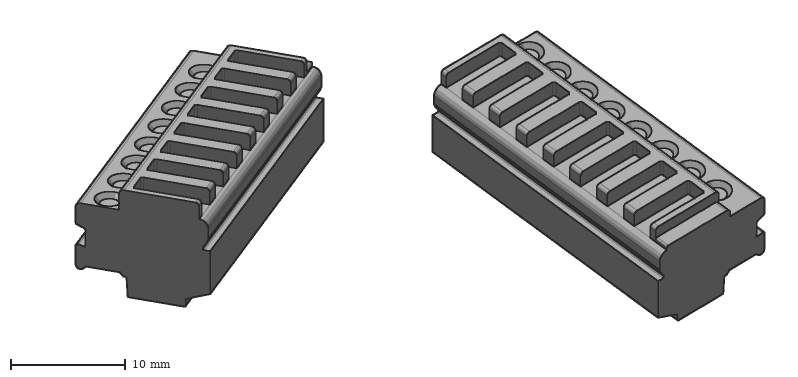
import math

import cadquery as cq

width = 12.5
length = 29.5
height = 10.6

shelf_z = 8.55
shelf_round = 0.45
block_left = 4.05
block_right = 11.48
pocket_floor_z = 9.0
block_left_round = 0.45
block_right_round = 0.35
block_corner_round = 0.1

groove_depth = 0.9
groove_top = 6.43
groove_ceiling = 6.08
groove_bottom = 4.48
groove_floor = 4.28
groove_top_round = 0.2
groove_bottom_round = 0.1
groove_lip_round = 0.2

foot_radius = 0.45
foot_z = 1.98
foot_center_z = foot_z + foot_radius
foot_diagonal = foot_radius * math.sqrt(0.5)
foot_tip_right = foot_radius + foot_diagonal
foot_tip_z = foot_center_z - foot_diagonal
underside_z = 2.33
underside_left = foot_tip_right + underside_z - foot_tip_z
underside_right = 4.1
plug_shoulder_left = 4.45
plug_top_left = 4.72
plug_bottom_left = 4.85
plug_right = 10.25
plug_round = 0.15
slope_bottom_z = 0.8
slope_top_z = 1.7

ledge_z = 6.0
notch_x = 11.83
notch_round = 0.1
notch_slope_start_z = 6.2
bead_right = 12.33
bead_bottom_x = 12.2
bead_bottom_z = 6.8
bead_flat_bottom_z = 7.17
bead_flat_top_z = 8.23
bead_mid_x = 12.12
bead_mid_z = 8.7

pole_count = 8
pole_pitch = 3.5
first_funnel_y = 1.6
funnel_x = 2.6
funnel_top_radius = 1.33
funnel_bottom_radius = 0.88
funnel_depth = 0.47
first_pocket_y = 1.7
pocket_left = 5.1
pocket_width = 2.12
pocket_round = 0.2

step_length = 1.48
step_z = 9.45
step_right_round = 0.18


def round_edges_at(body, x, z, radius):
    """Round the edges along Y that pass through the point (x, z)."""
    reach = 0.015
    box = cq.selectors.BoxSelector(
        (x - reach, 0, z - reach), (x + reach, length, z + reach)
    )
    return body.edges("|Y").edges(box).fillet(radius)


def make_base():
    """Everything below the raised block, including the bead."""
    outline = (
        cq.Workplane("XZ")
        .moveTo(0, foot_center_z)
        .threePointArc((foot_radius, foot_z), (foot_tip_right, foot_tip_z))
        .lineTo(underside_left, underside_z)
        .lineTo(underside_right, underside_z)
        .lineTo(plug_shoulder_left, foot_z)
        .lineTo(plug_top_left, foot_z)
        .lineTo(plug_bottom_left, 0)
        .lineTo(plug_right, 0)
        .lineTo(plug_right, slope_bottom_z)
        .lineTo(width, slope_top_z)
        .lineTo(width, ledge_z)
        .lineTo(notch_x, ledge_z)
        .lineTo(notch_x, notch_slope_start_z)
        .lineTo(bead_bottom_x, bead_bottom_z)
        .lineTo(bead_right, bead_flat_bottom_z)
        .lineTo(bead_right, bead_flat_top_z)
        .threePointArc((bead_mid_x, bead_mid_z), (block_right, pocket_floor_z))
        .lineTo(block_right, shelf_z)
        .lineTo(0, shelf_z)
        .lineTo(0, groove_top)
        .lineTo(groove_depth, groove_ceiling)
        .lineTo(groove_depth, groove_floor)
        .lineTo(0, groove_bottom)
        .close()
    )
    base = outline.extrude(-length)
    rounds = [
        (0, shelf_z, shelf_round),
        (0, groove_top, groove_top_round),
        (groove_depth, groove_ceiling, groove_top_round),
        (groove_depth, groove_floor, groove_bottom_round),
        (0, groove_bottom, groove_lip_round),
        (plug_top_left, foot_z, plug_round),
        (plug_bottom_left, 0, plug_round),
        (plug_right, 0, plug_round),
        (plug_right, slope_bottom_z, plug_round),
        (notch_x, ledge_z, notch_round),
    ]
    for x, z, radius in rounds:
        base = round_edges_at(base, x, z, radius)
    return base


def make_block(y_start, y_end, top_z, right_round):
    """One stretch of the raised block with rounded top edges."""
    block = cq.Workplane("XY", origin=(block_left, y_start, shelf_z)).box(
        block_right - block_left, y_end - y_start, top_z - shelf_z, centered=False
    )
    block = round_edges_at(block, block_left, top_z, block_left_round)
    return round_edges_at(block, block_right, top_z, right_round)


def add_raised_block(body):
    """Full-height stretch blended into the shelf, then the lowered +Y stretch."""
    step_y = length - step_length
    body = body.union(make_block(0, step_y, height, block_right_round))
    body = round_edges_at(body, block_left, shelf_z, block_corner_round)
    return body.union(make_block(step_y, length, step_z, step_right_round))


def cut_poles(body):
    """Cut the screw funnel and the label pocket of every pole."""
    for pole in range(pole_count):
        offset = pole * pole_pitch
        funnel = cq.Solid.makeCone(
            funnel_bottom_radius,
            funnel_top_radius,
            funnel_depth,
            pnt=cq.Vector(funnel_x, first_funnel_y + offset, shelf_z - funnel_depth),
        )
        pocket = (
            cq.Workplane("XY", origin=(pocket_left, first_pocket_y + offset, pocket_floor_z))
            .rect(block_right - pocket_left, pocket_width, centered=(False, True))
            .extrude(height - pocket_floor_z)
            .edges("|Z and <X")
            .fillet(pocket_round)
        )
        body = body.cut(cq.Workplane(funnel)).cut(pocket)
    return body


result = cut_poles(add_raised_block(make_base()))